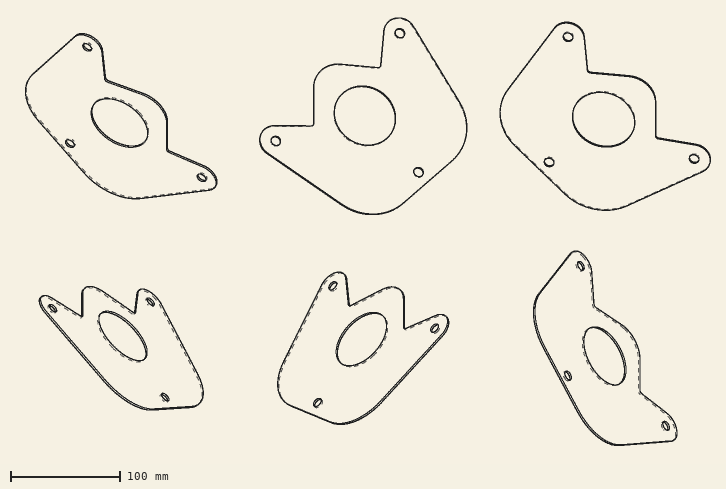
import cadquery as cq
import math

thickness = 2.0

bore_diameter = 58.0
bolt_hole_diameter = 9.0
ear_hole_half_spacing = 83.0
ear_hole_advance = 36.25
base_hole_setback = 71.7

ear_radius = 15.0
ear_outer_normal = 148.2
ear_inner_normal = 5.0
shoulder_normal = 90.0
base_normal = 225.0
shoulder_distance = 48.35
base_edge_margin = 12.3

base_corner_radius = 47.0
notch_radius = 3.0
shoulder_radius = 25.0


def mirrored(point):
    """Reflect an (x, z) point across the diagonal X = Z."""
    x, z = point
    return (z, x)


def unit(angle):
    """Unit (x, z) vector at an angle in degrees."""
    return (math.cos(math.radians(angle)), math.sin(math.radians(angle)))


def ear_tangent_distance(angle):
    """Distance from the origin to the ear's tangent line with this normal angle."""
    nx, nz = unit(angle)
    return ear_hole[0] * nx + ear_hole[1] * nz + ear_radius


def intersection(line_a, line_b):
    """Meeting point of two lines, each given as (normal angle, distance from origin)."""
    angle_a, distance_a = line_a
    angle_b, distance_b = line_b
    ax, az = unit(angle_a)
    bx, bz = unit(angle_b)
    determinant = ax * bz - az * bx
    x = (distance_a * bz - distance_b * az) / determinant
    z = (ax * distance_b - bx * distance_a) / determinant
    return (x, z)


diagonal = math.sqrt(0.5)
ear_hole = (
    (ear_hole_advance - ear_hole_half_spacing) * diagonal,
    (ear_hole_advance + ear_hole_half_spacing) * diagonal,
)
base_hole = (-base_hole_setback * diagonal, -base_hole_setback * diagonal)
bolt_holes = [ear_hole, mirrored(ear_hole), base_hole]

base_edge = (base_normal, base_hole_setback + base_edge_margin)
ear_outer_edge = (ear_outer_normal, ear_tangent_distance(ear_outer_normal))
ear_inner_edge = (ear_inner_normal, ear_tangent_distance(ear_inner_normal))
shoulder_edge = (shoulder_normal, shoulder_distance)

base_corner = intersection(base_edge, ear_outer_edge)
ear_corner = intersection(ear_outer_edge, ear_inner_edge)
notch_corner = intersection(ear_inner_edge, shoulder_edge)
shoulder_corner = (shoulder_distance, shoulder_distance)


def sharp_plate():
    """Plate with square corners, from Y = 0 to Y = thickness."""
    half = [base_corner, ear_corner, notch_corner]
    other_half = [mirrored(point) for point in reversed(half)]
    outline = half + [shoulder_corner] + other_half
    return cq.Workplane("XZ").polyline(outline).close().extrude(-thickness)


def round_corners(plate, corners, radius):
    """Fillet the through-thickness edges that stand on the given corners."""
    for x, z in corners:
        nearest = cq.selectors.NearestToPointSelector((x, thickness / 2, z))
        plate = plate.edges("|Y").edges(nearest).fillet(radius)
    return plate


def cut_holes(plate, centres, diameter):
    """Cut round holes through the plate."""
    cutters = cq.Workplane("XZ").pushPoints(centres).circle(diameter / 2).extrude(-thickness)
    return plate.cut(cutters)


result = sharp_plate()
result = round_corners(result, [base_corner, mirrored(base_corner)], base_corner_radius)
result = round_corners(result, [ear_corner, mirrored(ear_corner)], ear_radius)
result = round_corners(result, [notch_corner, mirrored(notch_corner)], notch_radius)
result = round_corners(result, [shoulder_corner], shoulder_radius)
result = cut_holes(result, [(0, 0)], bore_diameter)
result = cut_holes(result, bolt_holes, bolt_hole_diameter)